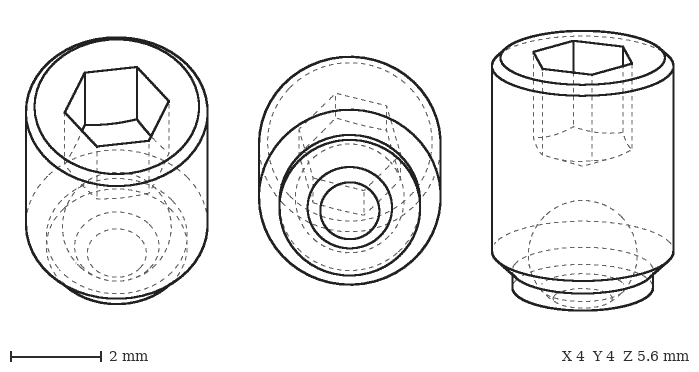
import cadquery as cq
import math

screw_diameter = 4.0
overall_height = 5.6

top_chamfer = 0.19
tip_diameter = 3.1
tip_length = 0.4
ball_projection = 0.25

socket_across_flats = 2.0
socket_depth = 2.0
drill_point_angle = 131.0

ball_diameter = 2.4
ball_flat_diameter = 1.3

screw_radius = screw_diameter / 2
tip_radius = tip_diameter / 2
tip_face_z = ball_projection
tip_shoulder_z = tip_face_z + tip_length
tip_cone_height = screw_radius - tip_radius
shank_bottom_z = tip_shoulder_z + tip_cone_height

ball_radius = ball_diameter / 2
ball_flat_radius = ball_flat_diameter / 2
ball_center_z = math.sqrt(ball_radius**2 - ball_flat_radius**2)

socket_corner_radius = socket_across_flats / math.sqrt(3)
socket_floor_z = overall_height - socket_depth
drill_point_height = socket_corner_radius / math.tan(math.radians(drill_point_angle / 2))


def make_ball():
    """Ball with a flat contact face at Z = 0."""
    sphere = cq.Workplane("XY").sphere(ball_radius).translate((0, 0, ball_center_z))
    above_flat = cq.Workplane("XY").box(
        screw_diameter, screw_diameter, overall_height, centered=(True, True, False)
    )
    return sphere.intersect(above_flat)


def make_socket():
    """Hexagonal prism whose lower end narrows to a cone about the screw axis."""
    hexagon = (
        cq.Workplane("XY")
        .workplane(offset=socket_floor_z - drill_point_height)
        .polygon(6, 2 * socket_corner_radius)
        .extrude(socket_depth + drill_point_height)
    )
    drilled_hole = (
        cq.Workplane("XZ")
        .moveTo(0, socket_floor_z - drill_point_height)
        .lineTo(socket_corner_radius, socket_floor_z)
        .lineTo(socket_corner_radius, overall_height)
        .lineTo(0, overall_height)
        .close()
        .revolve()
    )
    return hexagon.intersect(drilled_hole)


def make_screw(ball):
    """Stepped cylindrical body with a hexagon socket and a seat matching the ball."""
    blank = (
        cq.Workplane("XZ")
        .moveTo(0, tip_face_z)
        .lineTo(tip_radius, tip_face_z)
        .lineTo(tip_radius, tip_shoulder_z)
        .lineTo(screw_radius, shank_bottom_z)
        .lineTo(screw_radius, overall_height - top_chamfer)
        .lineTo(screw_radius - top_chamfer, overall_height)
        .lineTo(0, overall_height)
        .close()
        .revolve()
    )
    return blank.cut(make_socket()).cut(ball)


ball = make_ball()
screw = make_screw(ball)

result = cq.Compound.makeCompound([screw.val(), ball.val()])